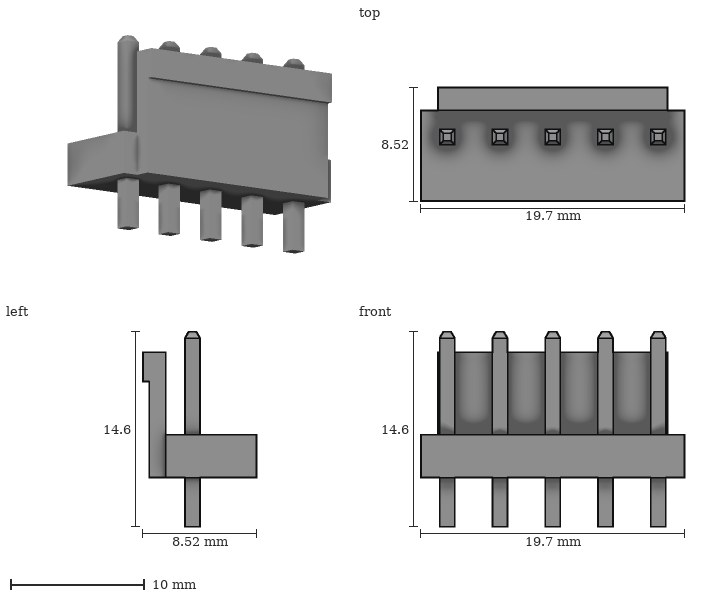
import cadquery as cq

base_length = 19.74
base_depth = 6.8
base_height = 3.22

wall_length = 17.17
wall_thickness = 1.25
wall_rise = 6.18
lip_overhang = 0.47
lip_height = 2.21

pin_count = 5
pin_pitch = 3.95
pin_width = 1.15
pin_setback = 2.0
pin_above = 7.7
pin_below = 3.7
tip_height = 0.47
tip_width = 0.57

wall_top = base_height + wall_rise


def make_base():
    return cq.Workplane("XY").box(
        base_length, base_depth, base_height, centered=(True, False, False)
    ).translate((0, -base_depth, 0))


def make_wall():
    """Wall with a lip along its top, extruded from its YZ profile."""
    lip_back = wall_thickness + lip_overhang
    lip_bottom = wall_top - lip_height
    profile = [
        (0, 0),
        (wall_thickness, 0),
        (wall_thickness, lip_bottom),
        (lip_back, lip_bottom),
        (lip_back, wall_top),
        (0, wall_top),
    ]
    return cq.Workplane("YZ").polyline(profile).close().extrude(wall_length / 2, both=True)


def make_pin(x):
    """Square pin through the base with a tapered upper tip."""
    shank_length = pin_below + base_height + pin_above - tip_height
    shank = (
        cq.Workplane("XY", origin=(x, -pin_setback, -pin_below))
        .rect(pin_width, pin_width)
        .extrude(shank_length)
    )
    return (
        shank.faces(">Z").workplane()
        .rect(pin_width, pin_width)
        .workplane(offset=tip_height)
        .rect(tip_width, tip_width)
        .loft(combine=True)
    )


result = make_base().union(make_wall())
for index in range(pin_count):
    pin_x = (index - (pin_count - 1) / 2) * pin_pitch
    result = result.union(make_pin(pin_x))